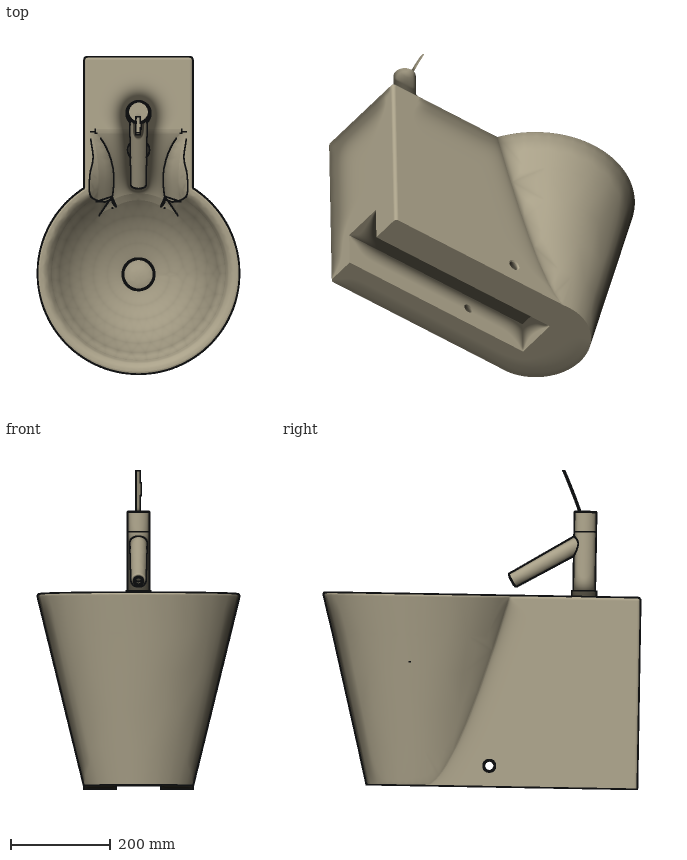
import cadquery as cq
import math

LEAN_ANGLE = -1.0

HEIGHT = 385.5
FOOT_RADIUS = 110.0
RIM_RADIUS = 203.0
RIM_ROUND_WIDTH = 5.0
RIM_ROUND_HEIGHT = 6.5
BACK_Y = 435.0
BOX_ROUND = 7.0
BOX_WIDTH = 219.0
JOINT_ROUND = 4.0
LIP_OUTER_RADIUS = RIM_RADIUS - RIM_ROUND_WIDTH
BOWL_RADIUS = 174.0
BOWL_FLOOR_Z = 249.0
BOWL_SPHERE_RADIUS = 191.5

RECESS_BACK_Y = 285.0
RECESS_SLOPE = 24.5
RECESS_HALF_WIDTH = 99.0
RECESS_HEADROOM = 6.5
SHOULDER_OVERRUN = 0.5
SHOULDER_WIDTH_SHARE = 0.38
SHOULDER_DEPTH_SHARE = 0.2
RECESS_WALL_ANGLE = 43.0
RECESS_BACK_ROUND = 4.5
BOWL_EDGE_ROUND = 38.5
CORNER_TIP = (91.0, 100.0)
CORNER_WALL_TOP = (86.0, 144.0)
CORNER_BOWL_EDGE = (44.0, 134.0)
CORNER_FLOOR = (53.0, 155.0)
CORNER_LIFT = 0.3
CORNER_SINK = 1.0
FLOOR_HALF_WIDTHS = [
    (283.5, 87.0), (256.0, 66.5), (221.0, 53.0), (185.5, 49.0), (147.0, 54.0), (125.0, 57.5), (102.5, 61.5)
]

CHANNEL_WIDTH = 89.5
CHANNEL_HEIGHT = 77.0
CROSS_HOLE_DIAMETER = 20.0
CROSS_HOLE_Y = 136.5
CROSS_HOLE_Z = 42.0
COUNTERSINK = 2.5

DRAIN_RING_DIAMETER = 65.0
DRAIN_CAP_DIAMETER = 60.0
DRAIN_SEAT_Z = 246.0
DRAIN_RING_TOP_Z = 251.5
DRAIN_RING_FLOOR = 2.5
DRAIN_CAP_CROWN = 3.0

OVERFLOW_DIAMETER = 44.0
OVERFLOW_Y = 248.0
OVERFLOW_SINK = 2.5
OVERFLOW_RISE = 6.0
OVERFLOW_ROUND = 5.0

TAP_Y = 321.0
TAP_DIAMETER = 45.0
FLANGE_DIAMETER = 50.0
FLANGE_TOP_Z = 397.0
CAP_SPLIT_Z = 515.5
CAP_TOP_Z = 556.0
CAP_CHAMFER = 2.0
SPOUT_AXIS_Z = 499.0
SPOUT_DROP_ANGLE = 30.0
SPOUT_LENGTH = 168.0
SPOUT_ROOT_DIAMETER = 36.0
SPOUT_TIP_DIAMETER = 31.0
SPOUT_TIP_ROUND = 2.25
AERATOR_DIAMETER = 20.0
AERATOR_BORE = 15.0
AERATOR_DEPTH = 9.5
AERATOR_PROTRUSION = 1.0

LEVER_WIDTH = 9.0
LEVER_OFFSET_X = -0.5
LEVER_THICKNESS = 3.0
LEVER_ROOT = (309.0, 552.0)
LEVER_MIDDLE = (292.5, 595.0)
LEVER_TIP = (274.0, 637.5)
LEVER_TAB_WIDTH = 2.0
LEVER_TAB_BOTTOM_Z = 588.0
LEVER_TAB_TOP_Z = 613.0


def cylinder(diameter, bottom_z, top_z, y=0.0):
    """Upright cylinder on the centre plane."""
    return cq.Workplane("XY", origin=(0, y, bottom_z)).circle(diameter / 2).extrude(top_z - bottom_z)


def bowl_z(x, y):
    return BOWL_FLOOR_Z + BOWL_SPHERE_RADIUS - math.sqrt(BOWL_SPHERE_RADIUS**2 - x**2 - y**2)


def recess_floor_z(y):
    return HEIGHT - (RECESS_BACK_Y - y) * math.tan(math.radians(RECESS_SLOPE))


def pedestal_cone():
    rim_edge_z = HEIGHT - RIM_ROUND_HEIGHT
    return (
        cq.Workplane("XZ")
        .lineTo(FOOT_RADIUS, 0)
        .lineTo(RIM_RADIUS, rim_edge_z)
        .spline([(LIP_OUTER_RADIUS, HEIGHT)], tangents=[(0.2, 1), (-1, 0)], includeCurrent=True)
        .lineTo(0, HEIGHT)
        .close()
        .revolve(360, (0, 0, 0), (0, 1, 0))
    )


def rear_box():
    return (
        cq.Workplane("XY")
        .box(BOX_WIDTH, BACK_Y, HEIGHT, centered=(True, False, False))
        .edges("(|Z and >Y) or (>Z and (not <Y))")
        .fillet(BOX_ROUND)
    )


def joined_pedestal():
    """Cone and box with small fillets along the two curves where the box sides meet the cone."""
    pedestal = pedestal_cone().union(rear_box())
    for side in (-1, 1):
        joint_point = (side * BOX_WIDTH / 2, RIM_RADIUS / 2, HEIGHT / 2)
        pedestal = pedestal.edges(cq.selectors.NearestToPointSelector(joint_point)).fillet(JOINT_ROUND)
    return pedestal


def bowl_cutter():
    """Spherical bowl that rolls over into a rounded lip."""
    sphere_z = BOWL_FLOOR_Z + BOWL_SPHERE_RADIUS
    bowl_edge_z = sphere_z - math.sqrt(BOWL_SPHERE_RADIUS**2 - BOWL_RADIUS**2)
    half_angle = math.asin(BOWL_RADIUS / BOWL_SPHERE_RADIUS) / 2
    bowl_middle = (
        BOWL_SPHERE_RADIUS * math.sin(half_angle),
        sphere_z - BOWL_SPHERE_RADIUS * math.cos(half_angle),
    )
    edge_direction = (-math.cos(2 * half_angle), -math.sin(2 * half_angle))
    return (
        cq.Workplane("XZ")
        .moveTo(0, BOWL_FLOOR_Z)
        .threePointArc(bowl_middle, (BOWL_RADIUS, bowl_edge_z))
        .spline(
            [(LIP_OUTER_RADIUS, HEIGHT)],
            tangents=[(-edge_direction[0], -edge_direction[1]), (1, 0)],
            includeCurrent=True,
        )
        .lineTo(LIP_OUTER_RADIUS, HEIGHT + 6.5)
        .lineTo(0, HEIGHT + 6.5)
        .close()
        .revolve(360, (0, 0, 0), (0, 1, 0))
    )


def recess_section(y, floor_half_width):
    """Cross-section of the recess: flat floor, sloping walls and shoulders tangent to the walls."""
    floor_z = recess_floor_z(y)
    top_z = HEIGHT + RECESS_HEADROOM
    shoulder_end_z = HEIGHT + SHOULDER_OVERRUN
    chord_x = SHOULDER_WIDTH_SHARE * (RECESS_HALF_WIDTH - floor_half_width)
    shoulder_x = RECESS_HALF_WIDTH - chord_x
    wall_run = shoulder_x - floor_half_width
    shoulder_z = min(
        HEIGHT - SHOULDER_DEPTH_SHARE * (HEIGHT - floor_z),
        floor_z + wall_run * math.tan(math.radians(RECESS_WALL_ANGLE)),
    )
    bend_x = shoulder_x + chord_x / 2
    bend_z = shoulder_z + (shoulder_z - floor_z) / wall_run * chord_x / 2
    right_shoulder = [(shoulder_x, shoulder_z), (bend_x, bend_z), (RECESS_HALF_WIDTH, shoulder_end_z)]
    left_shoulder = [(-x, z) for x, z in reversed(right_shoulder)]
    return (
        cq.Workplane("XZ", origin=(0, y, 0))
        .moveTo(-floor_half_width, floor_z)
        .lineTo(floor_half_width, floor_z)
        .lineTo(shoulder_x, shoulder_z)
        .bezier(right_shoulder)
        .lineTo(RECESS_HALF_WIDTH, top_z)
        .lineTo(-RECESS_HALF_WIDTH, top_z)
        .lineTo(-RECESS_HALF_WIDTH, shoulder_end_z)
        .bezier(left_shoulder)
        .close()
        .val()
    )


def recess_back_round():
    """Cutter that rounds the back edge, where the deck turns down into the recess floor."""
    half_width = FLOOR_HALF_WIDTHS[0][1]
    slope = math.radians(RECESS_SLOPE)
    front_y = RECESS_BACK_Y - RECESS_BACK_ROUND * math.cos(slope)
    return (
        cq.Workplane("YZ", origin=(-half_width, 0, 0))
        .moveTo(RECESS_BACK_Y + RECESS_BACK_ROUND, HEIGHT)
        .spline(
            [(front_y, recess_floor_z(front_y))],
            tangents=[(-1, 0), (-math.cos(slope), -math.sin(slope))],
            includeCurrent=True,
        )
        .lineTo(front_y, HEIGHT + RECESS_HEADROOM)
        .lineTo(RECESS_BACK_Y + RECESS_BACK_ROUND, HEIGHT + RECESS_HEADROOM)
        .close()
        .extrude(2 * half_width)
    )


def recess_cutter():
    sections = [recess_section(y, half_width) for y, half_width in FLOOR_HALF_WIDTHS]
    return cq.Workplane(cq.Solid.makeLoft(sections))


def rounded_bowl_edge(basin):
    """Rounds the curved edge between the recess floor and the bowl."""
    edge_y = 147
    edge_point = (0, edge_y, recess_floor_z(edge_y))
    return basin.edges(cq.selectors.NearestToPointSelector(edge_point)).fillet(BOWL_EDGE_ROUND)


def corner_cutter(side):
    """Four-sided wedge that carries a recess wall down to a point on the bowl; side is -1 or 1."""
    tip, wall_top, bowl_edge = [
        cq.Vector(side * x, y, bowl_z(x, y) + CORNER_LIFT)
        for x, y in (CORNER_TIP, CORNER_WALL_TOP, CORNER_BOWL_EDGE)
    ]
    floor_x, floor_y = CORNER_FLOOR
    floor = cq.Vector(side * floor_x, floor_y, recess_floor_z(floor_y) - CORNER_SINK)
    triangles = [
        (tip, floor, wall_top),
        (tip, floor, bowl_edge),
        (tip, wall_top, bowl_edge),
        (floor, wall_top, bowl_edge),
    ]
    faces = [cq.Face.makeFromWires(cq.Wire.makePolygon(corners, close=True)) for corners in triangles]
    return cq.Workplane(cq.Solid.makeSolid(cq.Shell.makeShell(faces)))


def underside_channel():
    """Channel for the pipes, open at the back and underneath."""
    return cq.Workplane("XY").box(CHANNEL_WIDTH, BACK_Y, CHANNEL_HEIGHT, centered=(True, False, False))


def cross_hole():
    """Fixing hole through both side walls, countersunk outside."""
    radius = CROSS_HOLE_DIAMETER / 2
    wall_x = BOX_WIDTH / 2
    return (
        cq.Workplane("XY", origin=(0, CROSS_HOLE_Y, CROSS_HOLE_Z))
        .moveTo(-wall_x, 0)
        .lineTo(-wall_x, radius + COUNTERSINK)
        .lineTo(-wall_x + COUNTERSINK, radius)
        .lineTo(wall_x - COUNTERSINK, radius)
        .lineTo(wall_x, radius + COUNTERSINK)
        .lineTo(wall_x, 0)
        .close()
        .revolve(360, (0, 0, 0), (1, 0, 0))
    )


def overflow_plane(sink):
    """Workplane on the recess floor at the overflow, sunk below it along its normal."""
    plane = cq.Plane(
        origin=(0, OVERFLOW_Y, recess_floor_z(OVERFLOW_Y)),
        xDir=(1, 0, 0),
        normal=(0, -math.sin(math.radians(RECESS_SLOPE)), math.cos(math.radians(RECESS_SLOPE))),
    )
    return cq.Workplane(plane).workplane(offset=-sink)


def make_basin():
    overflow_seat = overflow_plane(OVERFLOW_SINK).circle(OVERFLOW_DIAMETER / 2).extrude(2 * OVERFLOW_SINK)
    basin = joined_pedestal().cut(bowl_cutter()).cut(recess_cutter())
    basin = rounded_bowl_edge(basin)
    for side in (-1, 1):
        basin = basin.cut(corner_cutter(side))
    return (
        basin
        .cut(recess_back_round())
        .cut(underside_channel())
        .cut(cross_hole())
        .cut(overflow_seat)
        .cut(cylinder(DRAIN_RING_DIAMETER, DRAIN_SEAT_Z, HEIGHT))
    )


def make_drain_ring():
    ring = cylinder(DRAIN_RING_DIAMETER, DRAIN_SEAT_Z, DRAIN_RING_TOP_Z)
    return ring.cut(cylinder(DRAIN_CAP_DIAMETER, DRAIN_SEAT_Z + DRAIN_RING_FLOOR, DRAIN_RING_TOP_Z))


def make_drain_cap():
    bottom_z = DRAIN_SEAT_Z + DRAIN_RING_FLOOR
    radius = DRAIN_CAP_DIAMETER / 2
    crown_z = DRAIN_RING_TOP_Z + DRAIN_CAP_CROWN
    return (
        cq.Workplane("XZ")
        .moveTo(0, bottom_z)
        .lineTo(radius, bottom_z)
        .lineTo(radius, DRAIN_RING_TOP_Z)
        .spline([(0, crown_z)], tangents=[(-1, 0.2), (-1, 0)], includeCurrent=True)
        .close()
        .revolve(360, (0, 0, 0), (0, 1, 0))
    )


def make_overflow_cover():
    cover = overflow_plane(OVERFLOW_SINK).circle(OVERFLOW_DIAMETER / 2).extrude(OVERFLOW_SINK + OVERFLOW_RISE)
    return cover.faces(">Z").edges().fillet(OVERFLOW_ROUND)


def spout_plane(distance):
    """Workplane across the spout axis, a distance along it from the tap axis."""
    drop = math.radians(SPOUT_DROP_ANGLE)
    direction = cq.Vector(0, -math.cos(drop), -math.sin(drop))
    origin = cq.Vector(0, TAP_Y, SPOUT_AXIS_Z) + direction * distance
    return cq.Workplane(cq.Plane(origin=origin, xDir=(1, 0, 0), normal=direction))


def make_tap_flange():
    return cylinder(FLANGE_DIAMETER, HEIGHT, FLANGE_TOP_Z, TAP_Y)


def make_tap_body():
    column = cylinder(TAP_DIAMETER, FLANGE_TOP_Z, CAP_SPLIT_Z, TAP_Y)
    spout = (
        spout_plane(0)
        .circle(SPOUT_ROOT_DIAMETER / 2)
        .workplane(offset=SPOUT_LENGTH)
        .circle(SPOUT_TIP_DIAMETER / 2)
        .loft()
        .faces("<Y")
        .edges()
        .fillet(SPOUT_TIP_ROUND)
    )
    aerator_seat = (
        spout_plane(SPOUT_LENGTH - AERATOR_DEPTH).circle(AERATOR_DIAMETER / 2).extrude(AERATOR_DEPTH)
    )
    return column.union(spout).cut(aerator_seat)


def make_aerator():
    return (
        spout_plane(SPOUT_LENGTH - AERATOR_DEPTH)
        .circle(AERATOR_DIAMETER / 2)
        .circle(AERATOR_BORE / 2)
        .extrude(AERATOR_DEPTH + AERATOR_PROTRUSION)
    )


def make_lever():
    """Thin curved blade with a narrow tab along part of one side."""
    def blade(x, width):
        return (
            cq.Workplane("YZ", origin=(x, 0, 0))
            .moveTo(*LEVER_ROOT)
            .threePointArc(LEVER_MIDDLE, LEVER_TIP)
            .lineTo(LEVER_TIP[0] + LEVER_THICKNESS, LEVER_TIP[1])
            .threePointArc((LEVER_MIDDLE[0] + LEVER_THICKNESS, LEVER_MIDDLE[1]),
                           (LEVER_ROOT[0] + LEVER_THICKNESS, LEVER_ROOT[1]))
            .close()
            .extrude(width)
        )

    left_x = LEVER_OFFSET_X - LEVER_WIDTH / 2
    tab_zone = (
        cq.Workplane("XY", origin=(0, TAP_Y, LEVER_TAB_BOTTOM_Z))
        .rect(TAP_DIAMETER, 4 * TAP_DIAMETER)
        .extrude(LEVER_TAB_TOP_Z - LEVER_TAB_BOTTOM_Z)
    )
    tab = blade(left_x, LEVER_WIDTH + LEVER_TAB_WIDTH).intersect(tab_zone)
    return blade(left_x, LEVER_WIDTH).union(tab)


def make_handle_cap(lever):
    cap = cylinder(TAP_DIAMETER, CAP_SPLIT_Z, CAP_TOP_Z, TAP_Y)
    return cap.faces(">Z").edges().chamfer(CAP_CHAMFER).cut(lever)


basin = make_basin()
drain_ring = make_drain_ring()
drain_cap = make_drain_cap()
overflow_cover = make_overflow_cover()
tap_flange = make_tap_flange()
tap_body = make_tap_body()
aerator = make_aerator()
lever = make_lever()
handle_cap = make_handle_cap(lever)

bodies = [
    basin.solids().val(),
    drain_ring.solids().val(),
    drain_cap.solids().val(),
    overflow_cover.solids().val(),
    tap_flange.solids().val(),
    tap_body.solids().val(),
    aerator.solids().val(),
    handle_cap.solids().val(),
    lever.solids().val(),
]
result = cq.Compound.makeCompound([body.rotate((0, 0, 0), (1, 0, 0), LEAN_ANGLE) for body in bodies])